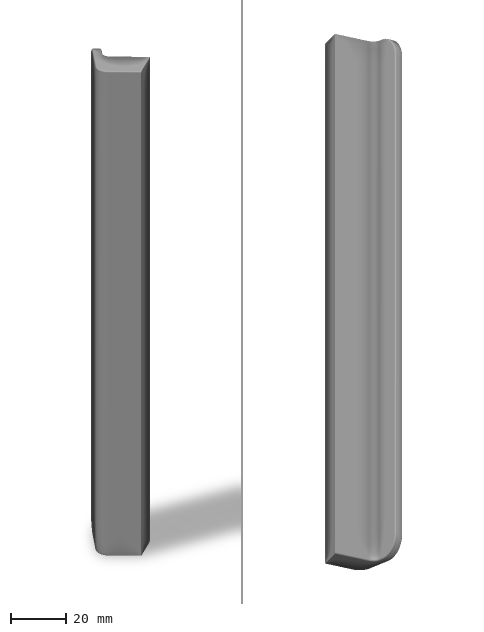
import cadquery as cq
import math

length = 200.0
width = 24.0
lip_length = 23.2
lip_thickness = 3.5
lip_lean = math.radians(21)
base_slope = math.radians(15)
base_thickness = 11.5
outer_bend_radius = 4.8
inner_bend_radius = 3.0
lip_corner_radius = 8.0
rim_radius = 0.5

lip_along = (-math.sin(lip_lean), math.cos(lip_lean))
lip_across = (math.cos(lip_lean), math.sin(lip_lean))
tip_outer = (lip_length * lip_along[0], lip_length * lip_along[1])
tip_inner = (
    tip_outer[0] + lip_thickness * lip_across[0],
    tip_outer[1] + lip_thickness * lip_across[1],
)
mount_x = width + tip_outer[0]
base_rise = base_thickness / math.cos(base_slope)
mount_bottom = (mount_x, mount_x * math.tan(base_slope))
mount_top = (mount_x, mount_bottom[1] + base_rise)
inner_x = (lip_thickness / math.sin(lip_lean) - base_rise) / (
    math.tan(base_slope) + 1 / math.tan(lip_lean)
)
inner_corner = (inner_x, base_rise + inner_x * math.tan(base_slope))


def make_bar():
    """Extruded profile with both bends rounded."""
    outline = [(0, 0), mount_bottom, mount_top, inner_corner, tip_inner, tip_outer]
    bar = cq.Workplane("XY").polyline(outline).close().extrude(length)
    bar = bar.edges(cq.NearestToPointSelector((0, 0, length / 2))).fillet(outer_bend_radius)
    inner_middle = (*inner_corner, length / 2)
    return bar.edges(cq.NearestToPointSelector(inner_middle)).fillet(inner_bend_radius)


def round_lip_corners(bar):
    """Round the two free corners of the lip, through its thickness."""
    tip_middle = (
        (tip_outer[0] + tip_inner[0]) / 2,
        (tip_outer[1] + tip_inner[1]) / 2,
    )
    for z in (0, length):
        bar = bar.edges(cq.NearestToPointSelector((*tip_middle, z))).fillet(lip_corner_radius)
    return bar


def round_rims(bar):
    """Round the front and back rims, leaving the mounting face sharp."""
    for corner, bend in ((mount_bottom, (0, 0)), (mount_top, inner_corner)):
        base_middle = ((corner[0] + bend[0]) / 2, (corner[1] + bend[1]) / 2, 0)
        bar = bar.edges(cq.NearestToPointSelector(base_middle)).fillet(rim_radius)
    return bar


result = round_rims(round_lip_corners(make_bar()))